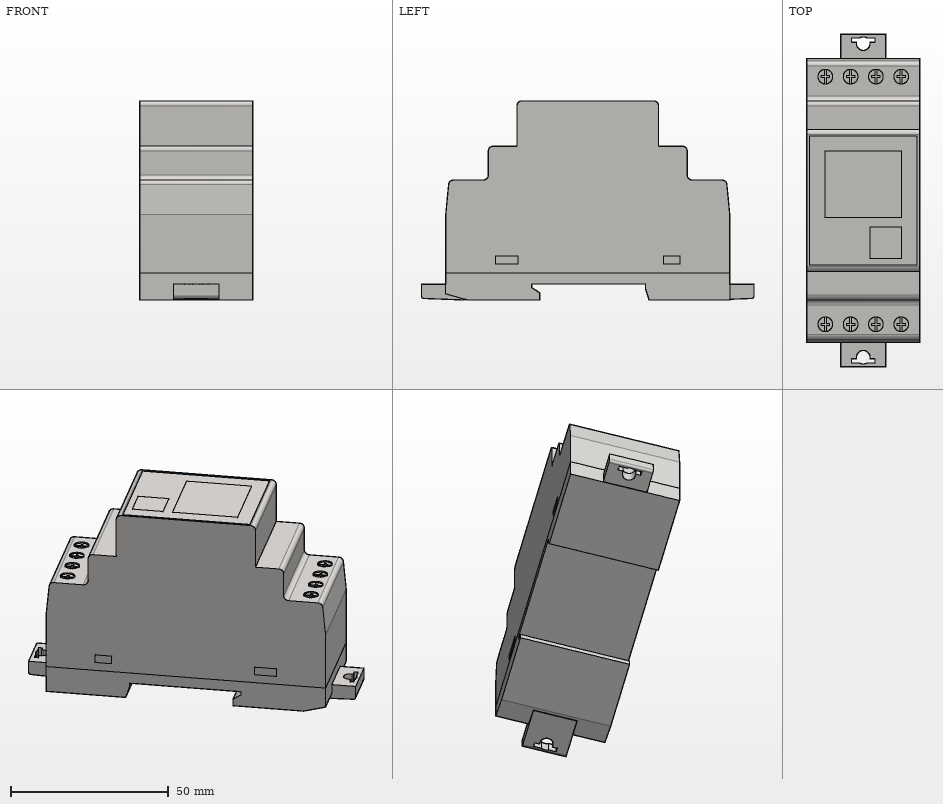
import cadquery as cq

WIDTH = 35.8
LENGTH = 105.4
HEIGHT = 63.1
HALF_WIDTH = WIDTH / 2

BODY_HALF = 45.0
SHOULDER_HALF = 43.9
MIDDLE_HALF = 31.5
TOP_HALF = 22.4
SEAM_Z = 8.6
TAPER_Z = 27.1
SHOULDER_Z = 38.0
MIDDLE_Z = 48.8
EDGE_RADIUS = 1.6

SCREW_COUNT = 4
SCREW_PITCH = 8.0
SCREW_ROW_Y = 39.2
SCREW_RADIUS = 2.3
SCREW_SINK = 0.4
SLOT_WIDTH = 0.6
SHORT_SLOT_LENGTH = 2.6
SLOT_DEPTH = 0.3

PANEL_MARGIN_X = 0.8
PANEL_HALF_Y = 20.4
PANEL_DEPTH = 0.1
INSERT_THICKNESS = 1.1
DISPLAY_HALF_X = 12.1
DISPLAY_BACK_Y = 15.6
DISPLAY_FRONT_Y = -5.4
BUTTON_LEFT_X = 2.1
BUTTON_BACK_Y = -8.4
BUTTON_FRONT_Y = -18.3

LATCH_SPANS = [(22.0, 29.2), (-29.2, -23.9)]
LATCH_NOSE_BOTTOM_Z = 11.4
LATCH_TOP_Z = 14.0
LATCH_INSET = 1.1
LATCH_POST_THICKNESS = 1.6

RAIL_CEILING_Z = 5.1
RAIL_BACK_Y = 17.7
RAIL_FRONT_Y = -18.2
HOOK_TOP_Z = 4.0
HOOK_TIP_Y = 15.2
HOOK_TIP_Z = 2.3
RAIL_SLOPE_Z = 3.7
RAIL_FOOT_Y = -19.4
BACK_BEVEL_Y = 37.9
BACK_BEVEL_Z = 2.0

TAB_WIDTH = 14.3
TAB_INNER_Y = 39.0
TAB_END_Z = 0.5
TAB_RADIUS = 0.8
TAB_BAR_WIDTH = 7.4
TAB_RIM = 1.3
TAB_BAR_LENGTH = 1.3
TAB_BAR_OUTER_Y = LENGTH / 2 - TAB_RIM
TAB_BAR_INNER_Y = TAB_BAR_OUTER_Y - TAB_BAR_LENGTH
TAB_HOLE_RADIUS = 2.1
TAB_HOLE_Y = 49.6


def box(x0, x1, y0, y1, z0, z1):
    """Box between two opposite corners."""
    return cq.Workplane("XY").box(x1 - x0, y1 - y0, z1 - z0, centered=False).translate((x0, y0, z0))


def extrude_profile(points, width):
    """Closed (Y, Z) outline extruded along X, centred on X = 0."""
    return cq.Workplane("YZ").polyline(points).close().extrude(width / 2, both=True)


def make_latch(side, front_y, back_y):
    """Post rising from the base with a nose that ends flush with the cover side."""
    inner_x = HALF_WIDTH - LATCH_INSET - LATCH_POST_THICKNESS
    post = box(inner_x, HALF_WIDTH - LATCH_INSET, front_y, back_y, SEAM_Z, LATCH_TOP_Z)
    nose = box(inner_x, HALF_WIDTH, front_y, back_y, LATCH_NOSE_BOTTOM_Z, LATCH_TOP_Z)
    latch = post.union(nose)
    return latch if side > 0 else latch.mirror("YZ")


def make_latches():
    """Two latches on each side of the base."""
    latches = cq.Workplane("XY")
    for front_y, back_y in LATCH_SPANS:
        for side in (-1, 1):
            latches = latches.add(make_latch(side, front_y, back_y))
    return latches.combine()


def make_screw_recess(x, y):
    """Round sink with a crossed slot in its floor: one slot spans it, the other is short."""
    floor_z = SHOULDER_Z - SCREW_SINK
    sink = cq.Workplane("XY", origin=(x, y, floor_z)).circle(SCREW_RADIUS).extrude(SCREW_SINK)
    slots = cq.Workplane("XY", origin=(x, y, floor_z - SLOT_DEPTH))
    long_slot = slots.rect(SLOT_WIDTH, 2 * SCREW_RADIUS).extrude(SLOT_DEPTH)
    long_slot = long_slot.intersect(slots.circle(SCREW_RADIUS).extrude(SLOT_DEPTH))
    short_slot = slots.rect(SHORT_SLOT_LENGTH, SLOT_WIDTH).extrude(SLOT_DEPTH)
    return sink.union(long_slot).union(short_slot)


def make_cover_block():
    """Stepped profile, symmetric front to back, with rounded steps."""
    half = [
        (BODY_HALF, SEAM_Z),
        (BODY_HALF, TAPER_Z),
        (SHOULDER_HALF, SHOULDER_Z),
        (MIDDLE_HALF, SHOULDER_Z),
        (MIDDLE_HALF, MIDDLE_Z),
        (TOP_HALF, MIDDLE_Z),
        (TOP_HALF, HEIGHT),
    ]
    block = extrude_profile(half + [(-y, z) for y, z in reversed(half)], WIDTH)
    rounded = [
        (SHOULDER_HALF, SHOULDER_Z),
        (MIDDLE_HALF, SHOULDER_Z),
        (MIDDLE_HALF, MIDDLE_Z),
        (TOP_HALF, HEIGHT),
    ]
    for y, z in rounded:
        for end in (-1, 1):
            block = block.edges(cq.selectors.NearestToPointSelector((0, end * y, z))).fillet(EDGE_RADIUS)
    return block


def make_cover(display, button):
    """Cover with screw recesses, panel recess, and pockets for the inserts and latches."""
    cover = make_cover_block()
    for end in (-1, 1):
        for i in range(SCREW_COUNT):
            x = (i - (SCREW_COUNT - 1) / 2) * SCREW_PITCH
            cover = cover.cut(make_screw_recess(x, end * SCREW_ROW_Y))
    panel_half_x = HALF_WIDTH - PANEL_MARGIN_X
    panel = box(-panel_half_x, panel_half_x, -PANEL_HALF_Y, PANEL_HALF_Y, HEIGHT - PANEL_DEPTH, HEIGHT)
    return cover.cut(panel).cut(display).cut(button).cut(make_latches())


def make_insert(left_x, front_y, back_y):
    """Flat plate flush with the panel floor; display and button share their right edge."""
    top_z = HEIGHT - PANEL_DEPTH
    return box(left_x, DISPLAY_HALF_X, front_y, back_y, top_z - INSERT_THICKNESS, top_z)


def make_tab():
    """Back mounting tab with a sloping underside and a keyhole through it."""
    end_y = LENGTH / 2
    outline = [(TAB_INNER_Y, 0), (end_y, TAB_END_Z), (end_y, RAIL_CEILING_Z), (TAB_INNER_Y, RAIL_CEILING_Z)]
    tab = extrude_profile(outline, TAB_WIDTH)
    tab = tab.edges(cq.selectors.NearestToPointSelector((0, end_y, TAB_END_Z))).fillet(TAB_RADIUS)
    bar = box(-TAB_BAR_WIDTH / 2, TAB_BAR_WIDTH / 2, TAB_BAR_INNER_Y, TAB_BAR_OUTER_Y, 0, RAIL_CEILING_Z)
    neck = box(-TAB_HOLE_RADIUS, TAB_HOLE_RADIUS, TAB_HOLE_Y, TAB_BAR_INNER_Y, 0, RAIL_CEILING_Z)
    hole = cq.Workplane("XY", origin=(0, TAB_HOLE_Y, 0)).circle(TAB_HOLE_RADIUS).extrude(RAIL_CEILING_Z)
    return tab.cut(bar).cut(neck).cut(hole)


def make_base():
    """Base with the rail recess, a tab at each end and the snap latches."""
    outline = [
        (BODY_HALF, SEAM_Z),
        (BODY_HALF, BACK_BEVEL_Z),
        (BACK_BEVEL_Y, 0),
        (HOOK_TIP_Y, 0),
        (HOOK_TIP_Y, HOOK_TIP_Z),
        (RAIL_BACK_Y, HOOK_TOP_Z),
        (RAIL_BACK_Y, RAIL_CEILING_Z),
        (RAIL_FRONT_Y, RAIL_CEILING_Z),
        (RAIL_FRONT_Y, RAIL_SLOPE_Z),
        (RAIL_FOOT_Y, 0),
        (-BODY_HALF, 0),
        (-BODY_HALF, SEAM_Z),
    ]
    back_tab = make_tab()
    front_tab = back_tab.mirror("XZ")
    return extrude_profile(outline, WIDTH).union(back_tab).union(front_tab).union(make_latches())


display = make_insert(-DISPLAY_HALF_X, DISPLAY_FRONT_Y, DISPLAY_BACK_Y)
button = make_insert(BUTTON_LEFT_X, BUTTON_FRONT_Y, BUTTON_BACK_Y)
cover = make_cover(display, button)
base = make_base()

result = cq.Compound.makeCompound([cover.val(), base.val(), display.val(), button.val()])